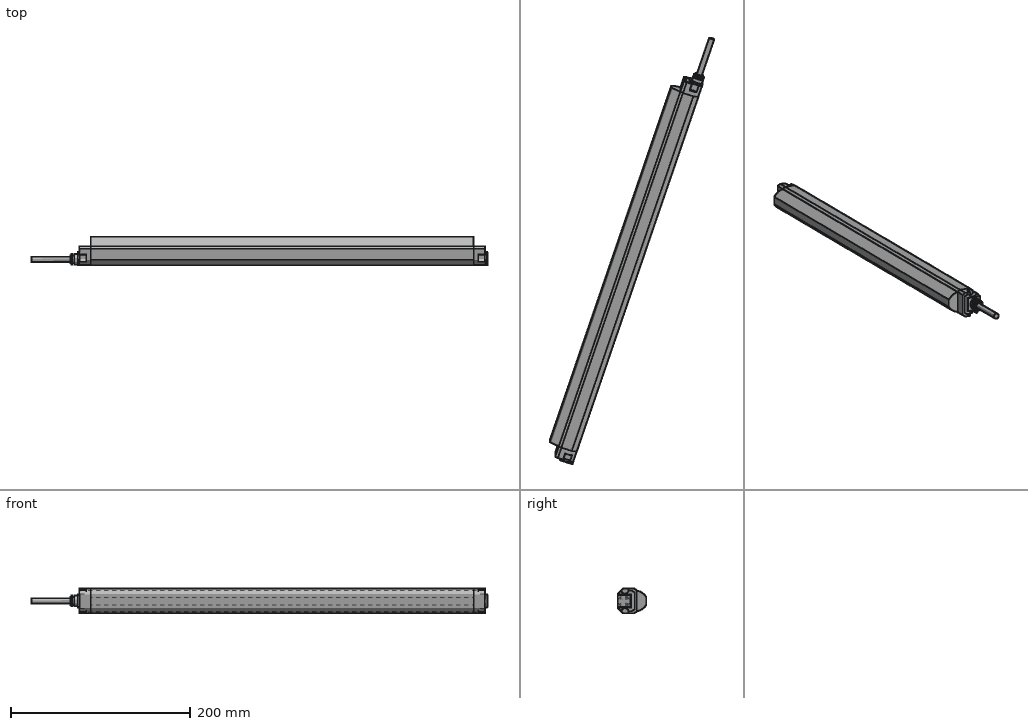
import cadquery as cq


total_length = 509.5
gland_start = 43.5
left_end = 53.5
right_end = 506.5
cap_length = 12.5
profile_start = left_end + cap_length
profile_length = right_end - left_end - 2 * cap_length

housing_height = 28.0
housing_depth = 21.5
half_height = housing_height / 2
front_y = -6.5
rear_y = front_y + housing_depth
front_chamfer = 6.0
front_fillet = 2.0
rear_chamfer_depth = 3.0
rear_chamfer_height = 2.0
cap_inset = 0.1

plate_height = 15.5
plate_depth = 15.5
left_plate_thickness = 1.5
right_plate_chamfer = 1.0

pocket_rim = 2.5
pocket_depth = 0.5

cable_radius = 3.0
gland_radius = 6.0
gland_neck_radius = 4.5
collar_start = 45.0
collar_width = 1.0
sleeve_start = 48.0

recess_radius = 4.0
recess_depth = 7.5
recess_y = front_y + 8.0
recess_z = 12.0

lens_depth = 10.5
lens_base_half = 11.5
lens_tip_half = 4.35
lens_flank_radius = 16.5


def housing_block(start, length, inset):
    """Chamfered housing section, inset all round and extruded along X."""
    top = half_height - inset
    front = front_y + inset
    rear = rear_y - inset
    upper = [
        (front, top - front_chamfer),
        (front + front_chamfer, top),
        (rear - rear_chamfer_depth, top),
        (rear, top - rear_chamfer_height),
    ]
    lower = [(y, -z) for y, z in reversed(upper)]
    block = cq.Workplane("YZ", origin=(start, 0, 0)).polyline(upper + lower).close().extrude(length)
    front_zone = cq.selectors.BoxSelector(
        (start, front - inset, -housing_height),
        (start + length, front + front_chamfer + inset, housing_height),
    )
    return block.edges("|X").edges(front_zone).fillet(front_fillet)


def cylinder(start, end, radius, y=0, z=0):
    """Round bar along X."""
    return cq.Workplane("YZ", origin=(start, y, z)).circle(radius).extrude(end - start)


def end_plate(start, end):
    """Rectangular plate on a cap's end face, flush with the front of the profile."""
    plate = cq.Workplane("XY", origin=(start, front_y, 0))
    return plate.box(end - start, plate_depth, plate_height, centered=(False, False, True))


def make_housing():
    """Profile with its two end caps, end plates, cable gland and cable."""
    housing = housing_block(profile_start, profile_length, 0)
    for cap_start in (left_end, right_end - cap_length):
        housing = housing.union(housing_block(cap_start, cap_length, cap_inset))

    for recess_start in (left_end, right_end - recess_depth):
        for z in (recess_z, -recess_z):
            recess = cylinder(recess_start, recess_start + recess_depth, recess_radius, recess_y, z)
            housing = housing.cut(recess)

    for pocket_start in (left_end, right_end - pocket_depth):
        housing = housing.cut(housing_block(pocket_start, pocket_depth, pocket_rim))

    housing = housing.union(end_plate(left_end - left_plate_thickness, left_end + pocket_depth))
    right_plate = end_plate(right_end - pocket_depth, total_length)
    housing = housing.union(right_plate.faces(">X").edges("not <Y").chamfer(right_plate_chamfer))

    housing = housing.union(cylinder(0, left_end, cable_radius))
    housing = housing.union(cylinder(gland_start, left_end, gland_neck_radius))
    housing = housing.union(cylinder(collar_start, collar_start + collar_width, gland_radius))
    return housing.union(cylinder(sleeve_start, left_end, gland_radius))


def make_lens():
    """Lens along the profile, with convex flanks and a flat tip."""
    tip_y = rear_y + lens_depth
    return (
        cq.Workplane("YZ", origin=(profile_start, 0, 0))
        .moveTo(rear_y, -lens_base_half)
        .radiusArc((tip_y, -lens_tip_half), -lens_flank_radius)
        .lineTo(tip_y, lens_tip_half)
        .radiusArc((rear_y, lens_base_half), -lens_flank_radius)
        .close()
        .extrude(profile_length)
    )


housing = make_housing()
lens = make_lens()

result = cq.Compound.makeCompound([housing.val(), lens.val()])